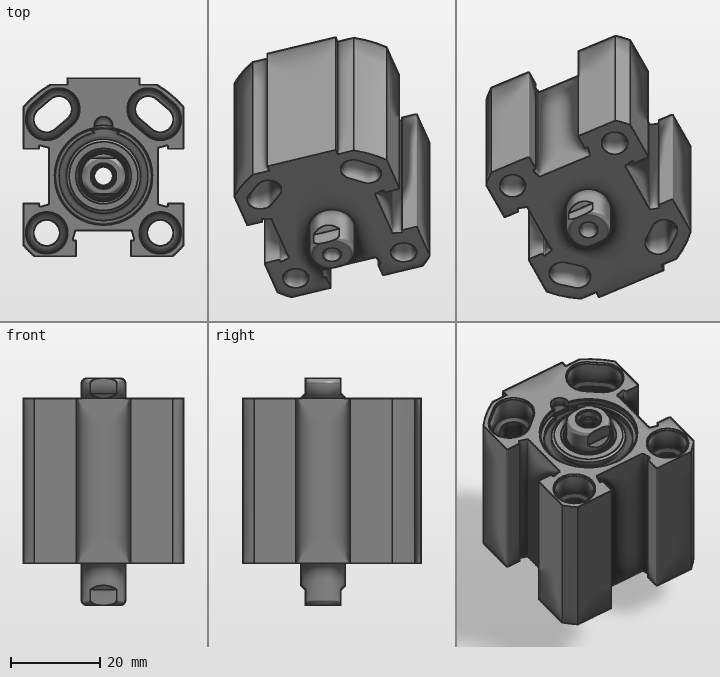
import cadquery as cq
import math


total_length = 51.0
rod_radius = 5.0
rod_end_rounding = 1.35
flat_half_width = 4.0
flat_length = 3.45
thread_radius = 2.65
thread_chamfer = 0.25
thread_depth = 2.0
core_radius = 2.065
core_chamfer = 0.25

housing_bottom = 9.45
housing_height = 37.05
housing_top = housing_bottom + housing_height
half_width = 18.0
shoulder_y = 20.55
tab_y = 22.0
tab_half_width = 8.1
corner_radius = 23.75

groove_mouth_half_width = 6.1
groove_undercut_half_width = 6.95
groove_floor_half_width = 6.3
groove_floor_distance = 12.25
lip_distance = 14.45
groove_rounding = 0.2
groove_mouth_rounding = 0.25

screw_offset = 12.75
screw_radius = 2.9
head_radius = 4.41
head_depth = 5.8
head_chamfer = 0.3
slot_shift_x = 2.7
slot_shift_y = 2.3

seat_radius = 10.8
seat_chamfer = 0.2
ring_inner_radius = 10.0
ring_outer_radius = 11.4
ring_top_depth = 1.5
ring_thickness = 1.0
ring_gap_center_angle = 87.1
ring_gap_outer_half_angle = 18.1
ring_gap_inner_half_angle = 14.8
ring_gap_overrun = 1.0
gap_apex_factor = 1.2
notch_radius = 2.05
notch_center_y = 11.3
notch_floor_rise = 0.2

collar_flange_thickness = 7.65
collar_edge_chamfer = 0.15
boss_radius = 8.3
boss_foot_rounding = 0.35
boss_top_depth = 0.55
boss_chamfer_width = 0.6
boss_chamfer_height = 0.4
collar_mouth_chamfer = 0.5

seal_outer_radius = 5.7
lip_foot_radius = 5.43
lip_crest_radius = 5.23
lip_height = 0.2
seal_top_depth = 0.6
seal_height = 2.05

ring_top = housing_top - ring_top_depth
shoulder_top = ring_top - ring_thickness
seat_floor = shoulder_top - collar_flange_thickness
boss_top = housing_top - boss_top_depth
seal_top = boss_top - seal_top_depth
seal_bottom = seal_top - seal_height


def cylinder(radius, bottom, top):
    """Cylinder about the Z axis."""
    return cq.Workplane("XY").workplane(offset=bottom).circle(radius).extrude(top - bottom)


def cone(bottom_radius, top_radius, bottom, top):
    """Truncated cone about the Z axis."""
    solid = cq.Solid.makeCone(bottom_radius, top_radius, top - bottom, cq.Vector(0, 0, bottom))
    return cq.Workplane(obj=solid)


def make_groove_cutter(angle):
    """Undercut mounting groove that runs the full height; angle 0 puts it on the -Y face."""
    flare_half_width = groove_mouth_half_width + groove_mouth_rounding
    flare_end = -half_width + groove_mouth_rounding
    cutter = (
        cq.Workplane("XY")
        .workplane(offset=housing_bottom)
        .moveTo(-flare_half_width, -half_width)
        .radiusArc((-groove_mouth_half_width, flare_end), -groove_mouth_rounding)
        .lineTo(-groove_mouth_half_width, -lip_distance)
        .lineTo(-groove_undercut_half_width, -lip_distance)
        .lineTo(-groove_floor_half_width, -groove_floor_distance)
        .lineTo(groove_floor_half_width, -groove_floor_distance)
        .lineTo(groove_undercut_half_width, -lip_distance)
        .lineTo(groove_mouth_half_width, -lip_distance)
        .lineTo(groove_mouth_half_width, flare_end)
        .radiusArc((flare_half_width, -half_width), -groove_mouth_rounding)
        .close()
        .extrude(housing_height)
    )
    behind_mouth = cq.selectors.BoxSelector(
        (-half_width, -lip_distance - groove_rounding, 0),
        (half_width, 0, total_length),
    )
    cutter = cutter.edges("|Z").edges(behind_mouth).fillet(groove_rounding)
    return cutter.rotate((0, 0, 0), (0, 0, 1), angle)


def make_round_screw_cutter(side):
    """Through hole with a counterbore and a chamfered mouth in a lower corner."""
    center = (side * screw_offset, -screw_offset)
    top = cq.Workplane("XY").workplane(offset=housing_top).center(*center)
    hole = top.circle(screw_radius).extrude(-housing_height)
    head = top.circle(head_radius).extrude(-head_depth)
    mouth = top.circle(head_radius + head_chamfer).extrude(-head_chamfer, taper=45)
    return hole.union(head).union(mouth)


def make_slotted_screw_cutter(side):
    """Slanted through slot with a counterbore and a chamfered mouth in an upper corner."""
    slot_travel = math.hypot(slot_shift_x, slot_shift_y)
    slot_angle = -side * math.degrees(math.atan2(slot_shift_y, slot_shift_x))
    center = (side * (screw_offset - slot_shift_x / 2), screw_offset + slot_shift_y / 2)

    def slot(radius, depth, taper=0.0):
        return (
            cq.Workplane("XY")
            .workplane(offset=housing_top)
            .center(*center)
            .slot2D(slot_travel + 2 * radius, 2 * radius, slot_angle)
            .extrude(-depth, taper=taper)
        )

    hole = slot(screw_radius, housing_height)
    head = slot(head_radius, head_depth)
    mouth = slot(head_radius + head_chamfer, head_chamfer, 45)
    return hole.union(head).union(mouth)


def make_housing():
    block_depth = half_width + shoulder_y
    base = cq.Workplane("XY").workplane(offset=housing_bottom)
    block = (
        base.center(0, (shoulder_y - half_width) / 2)
        .rect(2 * half_width, block_depth)
        .extrude(housing_height)
        .intersect(cylinder(corner_radius, housing_bottom, housing_top))
    )
    tab = base.center(0, tab_y / 2).rect(2 * tab_half_width, tab_y).extrude(housing_height)
    housing = block.union(tab)

    for angle in (0, 90, -90):
        housing = housing.cut(make_groove_cutter(angle))

    for side in (-1, 1):
        housing = housing.cut(make_round_screw_cutter(side))
        housing = housing.cut(make_slotted_screw_cutter(side))

    housing = housing.cut(cylinder(rod_radius, housing_bottom, housing_top))
    housing = housing.cut(cylinder(seat_radius, seat_floor, housing_top))
    housing = housing.cut(cylinder(ring_outer_radius, shoulder_top, ring_top))
    housing = housing.cut(
        cone(seat_radius, seat_radius + seat_chamfer, housing_top - seat_chamfer, housing_top)
    )

    notch_floor = shoulder_top + notch_floor_rise
    notch = (
        cq.Workplane("XY")
        .workplane(offset=notch_floor)
        .center(0, notch_center_y)
        .circle(notch_radius)
        .extrude(housing_top - notch_floor)
    )
    return housing.cut(notch)


def make_rod():
    rod = cylinder(rod_radius, 0, total_length).faces("<Z or >Z").edges().fillet(rod_end_rounding)

    runout = rod_radius - flat_half_width
    for side in (-1, 1):
        flat = (
            cq.Workplane("YZ")
            .workplane(offset=-rod_radius)
            .moveTo(side * flat_half_width, 0)
            .lineTo(side * flat_half_width, flat_length)
            .lineTo(side * rod_radius, flat_length + runout)
            .lineTo(side * rod_radius, 0)
            .close()
            .extrude(2 * rod_radius)
        )
        rod = rod.cut(flat).cut(flat.mirror("XY", (0, 0, total_length / 2)))

    thread_floor = total_length - thread_depth
    rod = rod.cut(cylinder(core_radius, 0, total_length))
    rod = rod.cut(cylinder(thread_radius, thread_floor, total_length))
    rod = rod.cut(
        cone(core_radius, core_radius + core_chamfer, thread_floor - core_chamfer, thread_floor)
    )
    return rod.cut(
        cone(thread_radius, thread_radius + thread_chamfer, total_length - thread_chamfer, total_length)
    )


def make_collar():
    """Head cover: a flange in the housing seat and a boss around the rod."""
    half_section = (
        cq.Workplane("XZ")
        .moveTo(rod_radius, seat_floor)
        .lineTo(seat_radius, seat_floor)
        .lineTo(seat_radius, shoulder_top - collar_edge_chamfer)
        .lineTo(seat_radius - collar_edge_chamfer, shoulder_top)
        .lineTo(boss_radius + boss_foot_rounding, shoulder_top)
        .radiusArc((boss_radius, shoulder_top + boss_foot_rounding), boss_foot_rounding)
        .lineTo(boss_radius, boss_top - boss_chamfer_height)
        .lineTo(boss_radius - boss_chamfer_width, boss_top)
        .lineTo(seal_outer_radius + collar_mouth_chamfer, boss_top)
        .lineTo(seal_outer_radius, boss_top - collar_mouth_chamfer)
        .lineTo(seal_outer_radius, seal_bottom)
        .lineTo(rod_radius, seal_bottom)
        .close()
    )
    return half_section.revolve(360, (0, 0), (0, 1))


def make_seal():
    """Rod seal in the collar recess, with a raised lip around the rod."""
    half_section = (
        cq.Workplane("XZ")
        .moveTo(rod_radius, seal_bottom)
        .lineTo(seal_outer_radius, seal_bottom)
        .lineTo(seal_outer_radius, seal_top)
        .lineTo(lip_foot_radius, seal_top)
        .lineTo(lip_crest_radius, seal_top + lip_height)
        .lineTo(rod_radius, seal_top + lip_height)
        .close()
    )
    return half_section.revolve(360, (0, 0), (0, 1))


def make_retaining_ring():
    """Split ring in the housing groove; the gap narrows towards the rod."""
    ring = cylinder(ring_outer_radius, shoulder_top, ring_top).cut(
        cylinder(ring_inner_radius, shoulder_top, ring_top)
    )

    def gap_side(direction):
        inner_angle = math.radians(ring_gap_center_angle + direction * ring_gap_inner_half_angle)
        outer_angle = math.radians(ring_gap_center_angle + direction * ring_gap_outer_half_angle)
        inner = cq.Vector(math.cos(inner_angle), math.sin(inner_angle)) * ring_inner_radius
        outer = cq.Vector(math.cos(outer_angle), math.sin(outer_angle)) * seat_radius
        overrun = (outer - inner) * ring_gap_overrun
        return inner - overrun, outer + overrun

    start_inner, start_outer = gap_side(-1)
    end_inner, end_outer = gap_side(1)
    gap_middle = math.radians(ring_gap_center_angle)
    beyond = cq.Vector(math.cos(gap_middle), math.sin(gap_middle)) * gap_apex_factor * ring_outer_radius
    corners = [start_inner, start_outer, beyond, end_outer, end_inner]
    gap = (
        cq.Workplane("XY")
        .workplane(offset=shoulder_top)
        .polyline([corner.toTuple()[:2] for corner in corners])
        .close()
        .extrude(ring_thickness)
    )
    return ring.cut(gap)


housing = make_housing()
rod = make_rod()
collar = make_collar()
seal = make_seal()
retaining_ring = make_retaining_ring()
result = cq.Compound.makeCompound(
    [housing.val(), rod.val(), collar.val(), seal.val(), retaining_ring.val()]
)